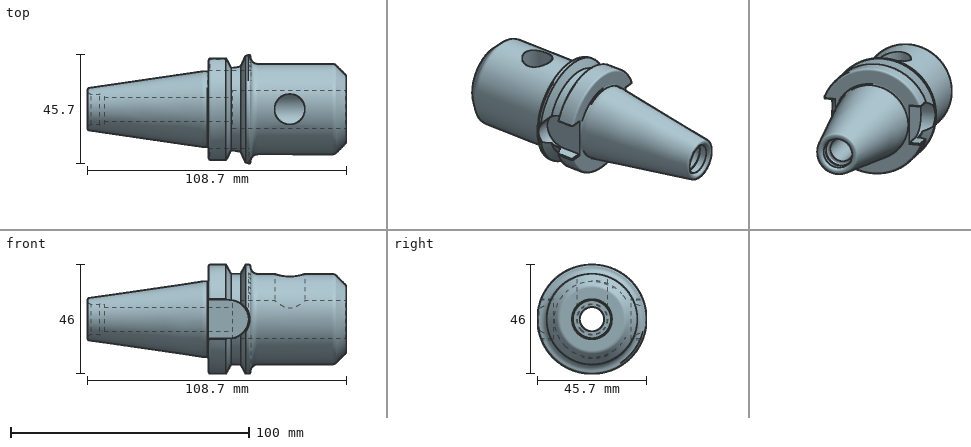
import cadquery as cq
import math


taper_length = 48.4
taper_ratio = 7 / 24
gauge_radius = 31.87 / 2
taper_tip_radius = gauge_radius - taper_length * taper_ratio / 2
taper_tip_fillet = 1.0
neck_fillet = 0.5

flange_radius = 46 / 2
flange_face_x = 2.4
flange_edge_x = 9.75
groove_start_x = 11.9
groove_end_x = 15.9
rear_flange_x = 18.0
rear_flange_end_x = 20.1
groove_radius = 19.15
flange_fillet = 1.0

nose_radius = 38.1 / 2
overall_length = 108.74
nose_end_x = overall_length - taper_length
nose_chamfer = 5.0
nose_fillet = 2.0

root_fillet = flange_radius - flange_fillet - nose_radius

keyway_half_width = 8.05
keyway_floor_y = 16.3
keyway_end_x = 19.25
keyway_chamfer = 0.5

through_radius = 10.11 / 2
mouth_radius = 7.65
mouth_fillet = 1.0
mouth_half_angle = math.radians(30)
pilot_radius = 12.5 / 2
relief_radius = 13.1 / 2
relief_start_depth = 4.9
relief_end_depth = 7.1
relief_fillet = 0.6

tool_bore_radius = 15.88 / 2
tool_bore_mouth_radius = 16.88 / 2
tool_bore_depth = 48.0

screw_hole_radius = 12.75 / 2
screw_hole_x = 36.5

edge_tolerance = 0.02


def revolve_about_x(profile):
    """Turn a closed profile drawn in XY, with Y as the radius, about the X axis."""
    return profile.close().revolve(360, (0, 0, 0), (1, 0, 0))


def fillet_circles(body, x, radius, fillet):
    """Round the circular edge that lies at one axial position and radius."""
    inner = radius - edge_tolerance
    outer = radius + edge_tolerance
    ring = cq.selectors.BoxSelector(
        (x - edge_tolerance, -outer, -outer),
        (x + edge_tolerance, outer, outer),
        boundingbox=True,
    )
    circles = [edge for edge in body.edges(ring).vals() if edge.geomType() == "CIRCLE"]
    chosen = [edge for edge in circles if inner < edge.radius() < outer]
    return body.newObject(chosen).fillet(fillet)


def make_body():
    body = revolve_about_x(
        cq.Workplane("XY")
        .moveTo(-taper_length, 0)
        .lineTo(-taper_length, taper_tip_radius)
        .lineTo(0, gauge_radius)
        .lineTo(flange_face_x, gauge_radius)
        .lineTo(flange_face_x, flange_radius)
        .lineTo(flange_edge_x, flange_radius)
        .lineTo(groove_start_x, groove_radius)
        .lineTo(groove_end_x, groove_radius)
        .lineTo(rear_flange_x, flange_radius)
        .lineTo(rear_flange_end_x - flange_fillet, flange_radius)
        .radiusArc((rear_flange_end_x, flange_radius - flange_fillet), flange_fillet)
        .radiusArc((rear_flange_end_x + root_fillet, nose_radius), -root_fillet)
        .lineTo(nose_end_x - nose_chamfer, nose_radius)
        .lineTo(nose_end_x, nose_radius - nose_chamfer)
        .lineTo(nose_end_x, 0)
    )
    rounded_edges = [
        (-taper_length, taper_tip_radius, taper_tip_fillet),
        (flange_face_x, gauge_radius, neck_fillet),
        (flange_face_x, flange_radius, flange_fillet),
        (nose_end_x - nose_chamfer, nose_radius, nose_fillet),
        (nose_end_x, nose_radius - nose_chamfer, nose_fillet),
    ]
    for x, radius, fillet in rounded_edges:
        body = fillet_circles(body, x, radius, fillet)
    return body


def make_bores():
    tip_x = -taper_length
    cone_start_x = tip_x + mouth_fillet * (1 - math.sin(mouth_half_angle))
    cone_start_radius = mouth_radius - mouth_fillet * math.cos(mouth_half_angle)
    cone_length = (cone_start_radius - pilot_radius) / math.tan(mouth_half_angle)
    relief_start_x = tip_x + relief_start_depth
    relief_end_x = tip_x + relief_end_depth
    tool_mouth_depth = tool_bore_mouth_radius - tool_bore_radius
    tool_bore_x = nose_end_x - tool_bore_depth
    return revolve_about_x(
        cq.Workplane("XY")
        .moveTo(tip_x, 0)
        .lineTo(tip_x, mouth_radius)
        .radiusArc((cone_start_x, cone_start_radius), -mouth_fillet)
        .lineTo(cone_start_x + cone_length, pilot_radius)
        .lineTo(relief_start_x, pilot_radius)
        .lineTo(relief_start_x, relief_radius)
        .lineTo(relief_end_x - relief_fillet, relief_radius)
        .radiusArc((relief_end_x, relief_radius - relief_fillet), relief_fillet)
        .lineTo(relief_end_x, through_radius)
        .lineTo(tool_bore_x, through_radius)
        .lineTo(tool_bore_x, tool_bore_radius)
        .lineTo(nose_end_x - tool_mouth_depth, tool_bore_radius)
        .lineTo(nose_end_x, tool_bore_mouth_radius)
        .lineTo(nose_end_x, 0)
    )


def make_keyway():
    """Round-ended keyway on the -Y side."""
    arc_center_x = keyway_end_x - keyway_half_width
    return (
        cq.Workplane("XZ", origin=(0, -keyway_floor_y, 0))
        .moveTo(0, -keyway_half_width)
        .lineTo(arc_center_x, -keyway_half_width)
        .threePointArc((keyway_end_x, 0), (arc_center_x, keyway_half_width))
        .lineTo(0, keyway_half_width)
        .close()
        .extrude(flange_radius)
    )


def make_screw_hole():
    return (
        cq.Workplane("XY")
        .center(screw_hole_x, 0)
        .circle(screw_hole_radius)
        .extrude(flange_radius)
    )


def chamfer_keyway_rims(body, flange_start_x, flange_end_x):
    """Bevel the keyway wall edges that lie within one flange, on both sides of the part."""
    wide = 2 * flange_radius
    span = cq.selectors.BoxSelector(
        (flange_start_x - edge_tolerance, -wide, -keyway_half_width - edge_tolerance),
        (flange_end_x + edge_tolerance, wide, keyway_half_width + edge_tolerance),
        boundingbox=True,
    )
    rims = []
    for edge in body.edges(span).vals():
        point = edge.positionAt(0.5)
        arc_offset = max(point.x - (keyway_end_x - keyway_half_width), 0)
        on_wall = abs(math.hypot(arc_offset, point.z) - keyway_half_width) < edge_tolerance
        outside_floor = abs(point.y) > keyway_floor_y + edge_tolerance
        if on_wall and outside_floor:
            rims.append(edge)
    return body.newObject(rims).chamfer(keyway_chamfer)


keyway = make_keyway()
result = (
    make_body()
    .cut(make_bores())
    .cut(keyway)
    .cut(keyway.mirror("XZ"))
    .cut(make_screw_hole())
)
result = chamfer_keyway_rims(result, flange_face_x, flange_edge_x)
result = chamfer_keyway_rims(result, rear_flange_x, rear_flange_end_x)